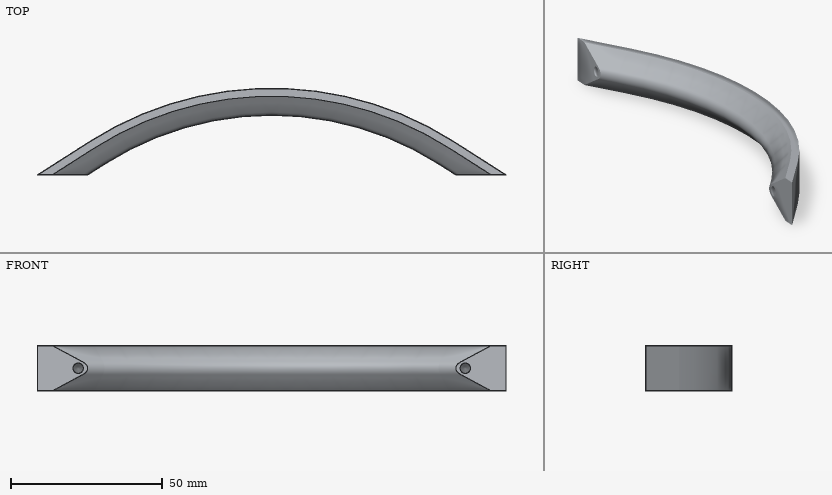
import cadquery as cq
import math

length = 155.0
rise = 28.7
width = 15.0

outer_radius = 111.6

edge_thickness = 2.6
tip_radius = 3.0
half_width = width / 2

hole_diameter = 3.4
hole_inset = 13.5
hole_depth = 4.6
drill_tip_angle = 118.0

half_length = length / 2
center_y = rise - outer_radius
corner_distance = math.hypot(half_length, center_y)
corner_angle = math.atan2(half_length, -center_y)
bow_angle = corner_angle - math.acos(outer_radius / corner_distance)
tangent_x = outer_radius * math.sin(bow_angle)
tangent_y = center_y + outer_radius * math.cos(bow_angle)

overshoot = 23.2
end_x = half_length + overshoot * math.cos(bow_angle)
end_y = -overshoot * math.sin(bow_angle)


def bow_path():
    """Centre line of the outer face, from the left end to the right end."""
    return (
        cq.Workplane("XY")
        .moveTo(-end_x, end_y)
        .lineTo(-tangent_x, tangent_y)
        .threePointArc((0, rise), (tangent_x, tangent_y))
        .lineTo(end_x, end_y)
    )


def bar():
    """Sweep a section with a flat back, 45 degree flanks and a rounded tip."""
    tip_depth = edge_thickness + half_width - tip_radius * (math.sqrt(2) - 1)
    round_half_width = tip_radius * math.sin(math.pi / 4)
    round_depth = edge_thickness + half_width - round_half_width
    section_plane = cq.Plane(
        origin=(-end_x, end_y, 0),
        xDir=(math.sin(bow_angle), -math.cos(bow_angle), 0),
        normal=(math.cos(bow_angle), math.sin(bow_angle), 0),
    )
    section = (
        cq.Workplane(section_plane)
        .moveTo(0, -half_width)
        .lineTo(edge_thickness, -half_width)
        .lineTo(round_depth, -round_half_width)
        .threePointArc((tip_depth, 0), (round_depth, round_half_width))
        .lineTo(edge_thickness, half_width)
        .lineTo(0, half_width)
        .close()
    )
    return section.sweep(bow_path())


def trim_block():
    """Everything below the mounting plane Y = 0."""
    return cq.Workplane("XY").box(2 * end_x, 2 * length, 2 * width).translate((0, -length, 0))


def screw_hole(x):
    """Blind drilled hole with a conical bottom, running in +Y."""
    radius = hole_diameter / 2
    cone_height = radius / math.tan(math.radians(drill_tip_angle / 2))
    return (
        cq.Workplane("XY")
        .polyline([(0, 0), (radius, 0), (radius, hole_depth), (0, hole_depth + cone_height)])
        .close()
        .revolve(360, (0, 0, 0), (0, 1, 0))
        .translate((x, 0, 0))
    )


result = bar().cut(trim_block())
for side in (-1, 1):
    result = result.cut(screw_hole(side * (half_length - hole_inset)))